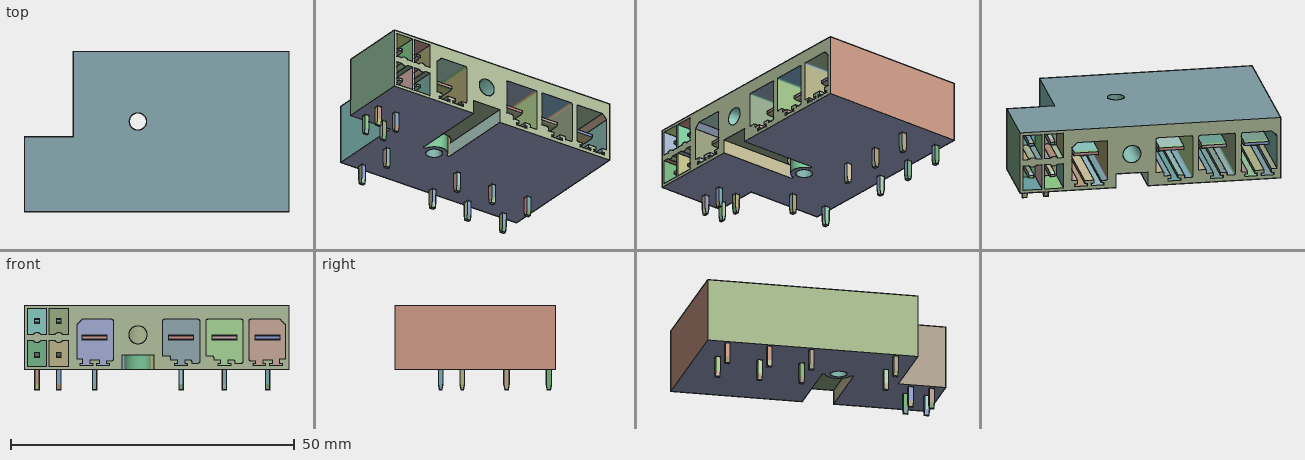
import cadquery as cq
import math


housing_width = 46.69
housing_depth = 28.3
housing_height = 11.3
front_part_depth = 13.28
rear_part_left = 8.6
housing_middle_z = housing_height / 2

signal_pitch = 3.81
power_pitch = 2 * signal_pitch
signal_first_x = 2.25
screw_x = 20.03
screw_y = 15.95
signal_columns = [signal_first_x, signal_first_x + signal_pitch]

signal_size = 0.84
signal_tip_size = 0.42
signal_tip_length = 1.0
signal_pin_tip_y = 1.2
signal_pins_middle_z = 5.57
signal_pin_offset_z = 3.0
lower_leg_y = 8.05
upper_leg_y = lower_leg_y + signal_pitch
leg_reach = 3.6

signal_pocket_width = 3.4
signal_pocket_height = 4.52
signal_pocket_depth = 7.0
signal_pocket_edge = 0.56
rib_width = 1.35
rib_height = 0.3

blade_width = 4.4
blade_thickness = 0.8
blade_tip_thickness = 0.5
blade_tip_length = 0.5
blade_tip_y = 2.95
power_leg_width = 0.8
power_leg_depth = 1.0
power_leg_tip_depth = 0.6
power_leg_tip_length = 1.0
power_front_leg_y = 19.67
power_rear_leg_y = 27.13

power_pocket_depth = 16.0
pocket_top_z = 8.87
pocket_wide_side = 3.28
pocket_narrow_side = 3.13
pocket_key_chamfer = 0.95
pocket_corner_radius = 0.3
slot_bottom_z = 0.69
slot_lip_z = 1.11
slot_land_z = 1.68
slot_half_width = 1.14
slot_neck_half_width = 0.65
end_slot_offset = 1.47
end_ledge_narrow_z = 1.85
end_ledge_wide_z = 1.53
middle_ledge_z = 2.42
middle_step_x = 1.87

screw_hole_diameter = 3.0
post_radius = 2.4
groove_width = 0.57
groove_roof = 2.5
access_diameter = 3.2
access_z = 6.12
notch_width = 5.68
notch_height = 2.56
groove_middle_radius = post_radius + groove_width / 2
groove_end_x = notch_width / 2 - groove_width / 2
groove_end_y = -math.sqrt(groove_middle_radius ** 2 - groove_end_x ** 2)


def extrude_to_rear(sketch, depth):
    """Extrude a closed XZ outline from the front face (Y = 0) to the rear."""
    return sketch.extrude(-depth)


def front_outline(points):
    return cq.Workplane("XZ").polyline(points).close()


def make_block():
    outline = [
        (0, 0),
        (housing_width, 0),
        (housing_width, housing_depth),
        (rear_part_left, housing_depth),
        (rear_part_left, front_part_depth),
        (0, front_part_depth),
    ]
    return cq.Workplane("XY").polyline(outline).close().extrude(housing_height)


def make_lower_signal_pocket(x):
    """Rectangular pocket with a round rib in the middle of its ceiling."""
    left = x - signal_pocket_width / 2
    right = x + signal_pocket_width / 2
    bottom = signal_pocket_edge
    top = bottom + signal_pocket_height
    sketch = (
        cq.Workplane("XZ")
        .moveTo(left, bottom)
        .lineTo(right, bottom)
        .lineTo(right, top)
        .lineTo(x + rib_width / 2, top)
        .threePointArc((x, top - rib_height), (x - rib_width / 2, top))
        .lineTo(left, top)
        .close()
    )
    return extrude_to_rear(sketch, signal_pocket_depth)


def make_upper_signal_pocket(x):
    return make_lower_signal_pocket(x).mirror("XY", (0, 0, housing_middle_z))


def make_t_slot(x):
    """Coding groove with an inverted T section, open to the pocket above it."""
    outline = [
        (x - slot_half_width, slot_bottom_z),
        (x + slot_half_width, slot_bottom_z),
        (x + slot_half_width, slot_lip_z),
        (x + slot_neck_half_width, slot_lip_z),
        (x + slot_neck_half_width, middle_ledge_z),
        (x - slot_neck_half_width, middle_ledge_z),
        (x - slot_neck_half_width, slot_lip_z),
        (x - slot_half_width, slot_lip_z),
    ]
    return extrude_to_rear(front_outline(outline), power_pocket_depth)


def make_left_end_pocket(x):
    """Pocket with a keying chamfer at its top left corner and two T slots."""
    left = x - pocket_narrow_side
    right = x + pocket_wide_side
    land_left = x - end_slot_offset
    land_right = x + end_slot_offset
    outline = [
        (left, end_ledge_narrow_z),
        (land_left, end_ledge_narrow_z),
        (land_left, slot_land_z),
        (land_right, slot_land_z),
        (land_right, end_ledge_wide_z),
        (right, end_ledge_wide_z),
        (right, pocket_top_z),
        (left + pocket_key_chamfer, pocket_top_z),
        (left, pocket_top_z - pocket_key_chamfer),
    ]
    pocket = extrude_to_rear(front_outline(outline), power_pocket_depth)
    pocket = pocket.edges("|Y and >X").fillet(pocket_corner_radius)
    for slot_x in (land_left, land_right):
        pocket = pocket.union(make_t_slot(slot_x))
    return pocket


def make_right_end_pocket(x):
    return make_left_end_pocket(x).mirror("YZ", (x, 0, 0))


def make_middle_pocket(x):
    """Pocket with a high ledge on the left, a low floor on the right and one T slot."""
    left = x - pocket_wide_side
    right = x + pocket_wide_side
    outline = [
        (left, middle_ledge_z),
        (x - middle_step_x, middle_ledge_z),
        (x - middle_step_x, slot_land_z),
        (x + middle_step_x, slot_land_z),
        (x + middle_step_x, slot_lip_z),
        (right, slot_lip_z),
        (right, pocket_top_z),
        (left, pocket_top_z),
    ]
    pocket = extrude_to_rear(front_outline(outline), power_pocket_depth)
    rounded_corners = [
        (left, pocket_top_z),
        (right, pocket_top_z),
        (right, slot_lip_z),
        (x + middle_step_x, slot_land_z),
        (x - middle_step_x, middle_ledge_z),
    ]
    for corner_x, corner_z in rounded_corners:
        corner = cq.selectors.NearestToPointSelector((corner_x, power_pocket_depth / 2, corner_z))
        pocket = pocket.edges("|Y").edges(corner).fillet(pocket_corner_radius)
    return pocket.union(make_t_slot(x))


def make_post_groove():
    """Arc groove around the front of the screw post; its round ends touch the notch sides."""
    outer = post_radius + groove_width
    end_angle = math.atan2(groove_end_y, groove_end_x)
    cap_x = groove_end_x - groove_width / 2 * math.sin(end_angle)
    cap_y = groove_end_y + groove_width / 2 * math.cos(end_angle)
    outer_x = outer * math.cos(end_angle)
    outer_y = outer * math.sin(end_angle)
    inner_x = post_radius * math.cos(end_angle)
    inner_y = post_radius * math.sin(end_angle)
    sketch = (
        cq.Workplane("XY", (screw_x, screw_y, 0))
        .moveTo(-outer_x, outer_y)
        .threePointArc((0, -outer), (outer_x, outer_y))
        .threePointArc((cap_x, cap_y), (inner_x, inner_y))
        .threePointArc((0, -post_radius), (-inner_x, inner_y))
        .threePointArc((-cap_x, cap_y), (-outer_x, outer_y))
        .close()
    )
    return sketch.extrude(housing_height - groove_roof)


def make_screw_post():
    return cq.Workplane("XY").center(screw_x, screw_y).circle(post_radius).extrude(housing_height)


def make_notch():
    """Bottom notch that reaches back from the front and leaves the round screw post standing."""
    depth = screw_y + groove_end_y
    notch = cq.Workplane("XY").box(notch_width, depth, notch_height, centered=(True, False, False))
    notch = notch.translate((screw_x, 0, 0))
    return notch.cut(make_screw_post())


def make_access_hole():
    """Round hole from the front face to the screw post."""
    hole = cq.Workplane("XZ").center(screw_x, access_z).circle(access_diameter / 2)
    hole = extrude_to_rear(hole, screw_y)
    return hole.cut(make_screw_post())


def make_screw_hole():
    hole = cq.Workplane("XY").center(screw_x, screw_y).circle(screw_hole_diameter / 2)
    return hole.extrude(housing_height)


def make_bar(x, z, tip_y, rear_y, width, thickness, tip_thickness, tip_length):
    """Horizontal bar along Y whose front tip tapers in height only."""
    outline = [
        (tip_y, z - tip_thickness / 2),
        (tip_y + tip_length, z - thickness / 2),
        (rear_y, z - thickness / 2),
        (rear_y, z + thickness / 2),
        (tip_y + tip_length, z + thickness / 2),
        (tip_y, z + tip_thickness / 2),
    ]
    return cq.Workplane("YZ", (x, 0, 0)).polyline(outline).close().extrude(width / 2, both=True)


def make_leg(x, y, top_z, width, depth, tip_depth, tip_length):
    """Solder leg below the housing whose tip tapers along Y only."""
    outline = [
        (y - tip_depth / 2, -leg_reach),
        (y + tip_depth / 2, -leg_reach),
        (y + depth / 2, tip_length - leg_reach),
        (y + depth / 2, top_z),
        (y - depth / 2, top_z),
        (y - depth / 2, tip_length - leg_reach),
    ]
    return cq.Workplane("YZ", (x, 0, 0)).polyline(outline).close().extrude(width / 2, both=True)


def make_signal_contact(x, pin_z, leg_y):
    pin = make_bar(
        x, pin_z, signal_pin_tip_y, leg_y + signal_size / 2,
        signal_size, signal_size, signal_tip_size, signal_tip_length,
    )
    leg = make_leg(
        x, leg_y, pin_z + signal_size / 2,
        signal_size, signal_size, signal_tip_size, signal_tip_length,
    )
    return pin.union(leg)


def make_power_contact(x):
    contact = make_bar(
        x, housing_middle_z, blade_tip_y, power_rear_leg_y + power_leg_depth / 2,
        blade_width, blade_thickness, blade_tip_thickness, blade_tip_length,
    )
    for leg_y in (power_front_leg_y, power_rear_leg_y):
        leg = make_leg(
            x, leg_y, housing_middle_z,
            power_leg_width, power_leg_depth, power_leg_tip_depth, power_leg_tip_length,
        )
        contact = contact.union(leg)
    return contact


left_end_x = screw_x - power_pitch
middle_columns = [screw_x + power_pitch, screw_x + 2 * power_pitch]
right_end_x = screw_x + 3 * power_pitch
power_columns = [left_end_x, *middle_columns, right_end_x]

contacts = []
for column_x in signal_columns:
    contacts.append(make_signal_contact(column_x, signal_pins_middle_z - signal_pin_offset_z, lower_leg_y))
    contacts.append(make_signal_contact(column_x, signal_pins_middle_z + signal_pin_offset_z, upper_leg_y))
for column_x in power_columns:
    contacts.append(make_power_contact(column_x))

housing = make_block()
for cutout in (make_post_groove(), make_notch(), make_access_hole(), make_screw_hole()):
    housing = housing.cut(cutout)
for column_x in signal_columns:
    housing = housing.cut(make_lower_signal_pocket(column_x))
    housing = housing.cut(make_upper_signal_pocket(column_x))
housing = housing.cut(make_left_end_pocket(left_end_x))
for column_x in middle_columns:
    housing = housing.cut(make_middle_pocket(column_x))
housing = housing.cut(make_right_end_pocket(right_end_x))
for contact in contacts:
    housing = housing.cut(contact)

result = cq.Compound.makeCompound([housing.val(), *[contact.val() for contact in contacts]])